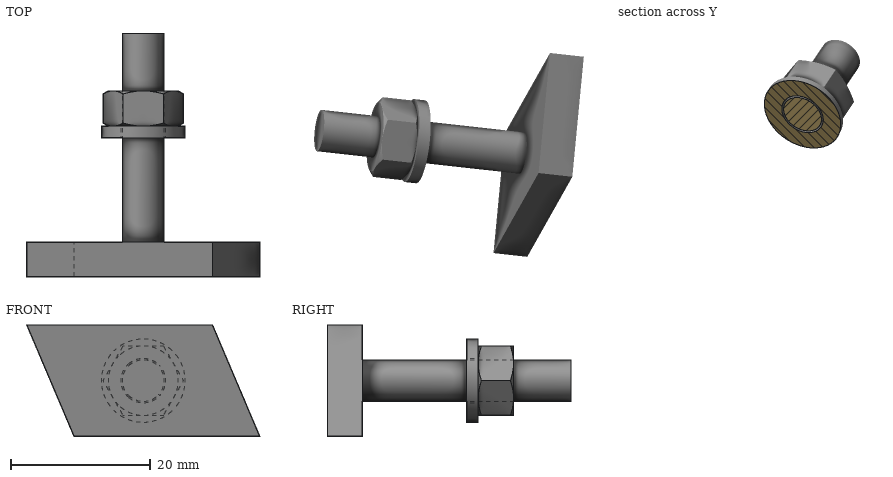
import cadquery as cq
import math

total_length = 35.0
head_thickness = 5.0
head_height = 16.0
head_width = 33.5
head_side_angle = 23.0
shank_diameter = 6.0

washer_start = 20.0
washer_thickness = 1.68
washer_diameter = 12.0
washer_hole_diameter = 6.4

nut_start = washer_start + washer_thickness
nut_thickness = 5.08
nut_across_flats = 10.0
nut_across_corners = nut_across_flats / math.cos(math.radians(30))
nut_chamfer_angle = 30.0


def plane_at(y):
    """Plane normal to the bolt axis, with local x along X and normal along +Y."""
    return cq.Plane(origin=(0, y, 0), xDir=(1, 0, 0), normal=(0, 1, 0))


def make_bolt():
    """Parallelogram hammer head with a plain round shank."""
    slant = head_height * math.tan(math.radians(head_side_angle))
    half_width = head_width / 2
    half_height = head_height / 2
    head = (
        cq.Workplane(plane_at(0))
        .polyline([
            (-half_width, -half_height),
            (half_width - slant, -half_height),
            (half_width, half_height),
            (-half_width + slant, half_height),
        ])
        .close()
        .extrude(head_thickness)
    )
    shank = (
        cq.Workplane(plane_at(head_thickness))
        .circle(shank_diameter / 2)
        .extrude(total_length - head_thickness)
    )
    return head.union(shank)


def make_washer():
    """Flat ring with a clearance hole around the shank."""
    return (
        cq.Workplane(plane_at(washer_start))
        .circle(washer_diameter / 2)
        .circle(washer_hole_diameter / 2)
        .extrude(washer_thickness)
    )


def make_nut():
    """Hexagon nut with corners on the X axis, coned off at both ends."""
    blank = (
        cq.Workplane(plane_at(nut_start))
        .polygon(6, nut_across_corners)
        .circle(shank_diameter / 2)
        .extrude(nut_thickness)
    )
    face_radius = nut_across_flats / 2
    corner_radius = nut_across_corners / 2
    chamfer_depth = (corner_radius - face_radius) * math.tan(math.radians(nut_chamfer_angle))
    nut_end = nut_start + nut_thickness
    envelope = (
        cq.Workplane("XY")
        .polyline([
            (0, nut_start),
            (face_radius, nut_start),
            (corner_radius, nut_start + chamfer_depth),
            (corner_radius, nut_end - chamfer_depth),
            (face_radius, nut_end),
            (0, nut_end),
        ])
        .close()
        .revolve(360, (0, 0, 0), (0, 1, 0))
    )
    return blank.intersect(envelope)


bolt = make_bolt()
washer = make_washer()
nut = make_nut()

result = cq.Compound.makeCompound([bolt.val(), washer.val(), nut.val()])